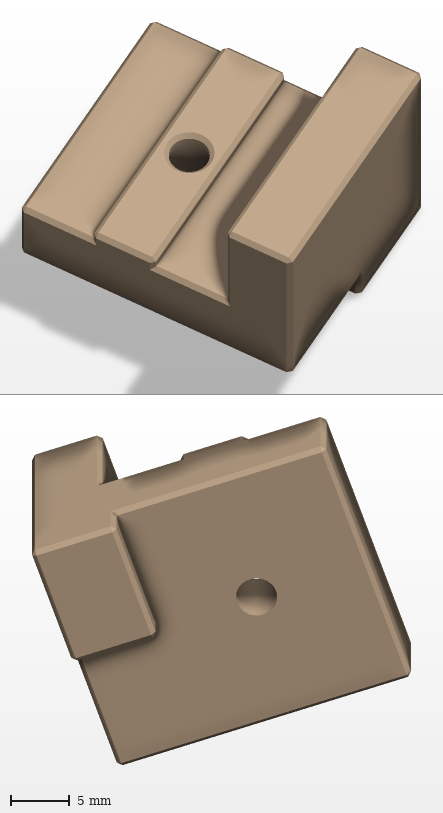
import cadquery as cq

length = 26.5
width = 23.05
height = 19.6
edge_chamfer = 0.4

base_height = 6.6

foot_depth = 3.0
foot_length = 7.6
foot_width = 11.05

wall_thickness = 6.35
wall_top = height - foot_depth
wall_start = length - wall_thickness

ridge_start = 7.08
ridge_width = 6.05
ridge_end = ridge_start + ridge_width
ridge_height = 1.0
ridge_top = base_height + ridge_height

hole_diameter = 3.5
hole_x = ridge_start + ridge_width / 2
hole_y = width / 2

TOLERANCE = 0.003


def is_inside_corner(edge):
    """True for the edges where the ridge and the wall rise from the base."""
    center = edge.Center()
    runs_along_y = abs(center.y - width / 2) < TOLERANCE
    at_base_top = abs(center.z - base_height) < TOLERANCE
    at_step = any(abs(center.x - x) < TOLERANCE for x in (ridge_start, ridge_end, wall_start))
    return runs_along_y and at_base_top and at_step


def make_body():
    """Base, ridge and wall as one profile, with all outside edges chamfered."""
    profile = [
        (0, 0),
        (length, 0),
        (length, wall_top),
        (wall_start, wall_top),
        (wall_start, base_height),
        (ridge_end, base_height),
        (ridge_end, ridge_top),
        (ridge_start, ridge_top),
        (ridge_start, base_height),
        (0, base_height),
    ]
    body = cq.Workplane("XZ").polyline(profile).close().extrude(-width)
    outside_edges = [edge for edge in body.edges().vals() if not is_inside_corner(edge)]
    return body.newObject(outside_edges).chamfer(edge_chamfer)


def make_foot():
    """Chamfered block that reaches up into the base so that the two join."""
    overlap = base_height / 2
    return (
        cq.Workplane("XY")
        .box(foot_length, foot_width, foot_depth + overlap, centered=False)
        .edges("|Z or <Z")
        .chamfer(edge_chamfer)
        .translate((length - foot_length, width - foot_width, -foot_depth))
    )


def make_hole_cutter():
    """Straight hole with a chamfered mouth at the top of the ridge."""
    hole_radius = hole_diameter / 2
    hole = cq.Workplane("XY").circle(hole_radius).extrude(ridge_top)
    mouth = cq.Workplane("XY").add(
        cq.Solid.makeCone(
            hole_radius,
            hole_radius + edge_chamfer,
            edge_chamfer,
            pnt=cq.Vector(0, 0, ridge_top - edge_chamfer),
        )
    )
    return hole.union(mouth).translate((hole_x, hole_y, 0))


result = make_body().union(make_foot()).cut(make_hole_cutter())